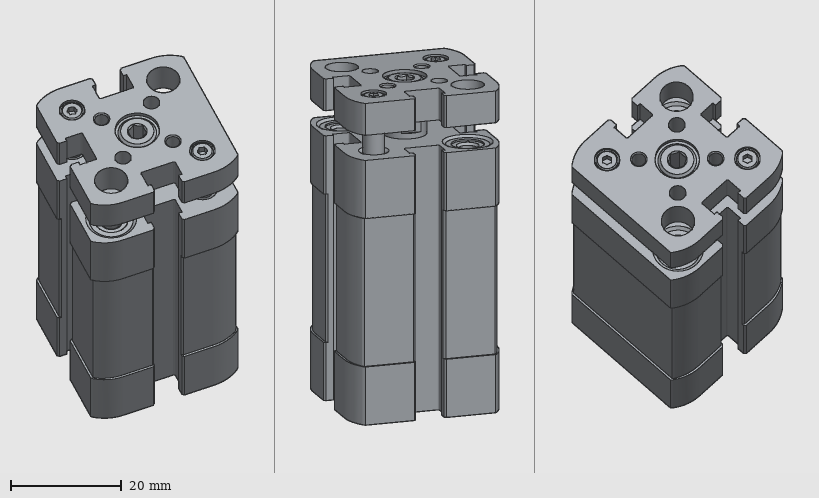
import cadquery as cq
import math

TOTAL_HEIGHT = 60.7
PLATE_THICKNESS = 6.0
HOUSING_HEIGHT = 49.95
CAP_HEIGHT = 11.0
PLATE_BOTTOM = TOTAL_HEIGHT - PLATE_THICKNESS
UPPER_CAP_BOTTOM = HOUSING_HEIGHT - CAP_HEIGHT
ROD_BOTTOM = UPPER_CAP_BOTTOM

WIDTH = 29.0
BARREL_INSET = 0.4
SIDE_FLAT_END = 9.0
CORNER_X = 12.8
CORNER_CHAMFER = 0.35

SLOT_MOUTH = 5.4
SLOT_INNER = 6.75
SLOT_FLOOR = 9.4
SLOT_LIP = 12.7
MOUTH_CHAMFER = 0.35
SLOT_FLOOR_RADIUS = 0.3
SLOT_DIRECTIONS = (0, 180, 270)

CORNER_OFFSET = 9.0
PIN_OFFSET = 4.9

ACCESS_DIAMETER = 6.0
DOWEL_DIAMETER = 3.0
TAPPED_DIAMETER = 2.5

PISTON_DIAMETER = 8.0
PISTON_NECK_DIAMETER = 7.0
PISTON_END_DROP = 0.3
PISTON_END_CHAMFER = 0.5
PISTON_SEAT_DEPTH = 0.7
PISTON_HEX = 3.0
PISTON_HEX_DEPTH = 8.0
PISTON_HEX_CHAMFER = 0.3
DRILL_TIP_ANGLE = 118.0
FLAT_DISTANCE = 7.1
FLAT_HEIGHT = 3.7

GUIDE_DIAMETER = 4.0
GUIDE_SEAT = 4.6
GUIDE_END_DROP = 0.2
GUIDE_SEAT_DEPTH = 0.5
GUIDE_END_CHAMFER = 0.25
GUIDE_HEX_CORNERS = 1.9
GUIDE_HEX_ANGLE = 15
GUIDE_HEX_DEPTH = 1.2
GUIDE_SINK_DIAMETER = 5.5
GUIDE_SINK_DEPTH = 0.5

SCREW_HOLE = 3.2
SCREW_HOLE_MOUTH = 4.1
SCREW_RECESS_MOUTH = 9.2
SCREW_RECESS_FLOOR = 8.0
SCREW_RECESS_DEPTH = 0.4
SCREW_STEP_DEPTH = 0.3

RISING_DIAGONAL = [(-1, -1), (1, 1)]
FALLING_DIAGONAL = [(-1, 1), (1, -1)]


def at_offset(signs, offset):
    return [(sx * offset, sy * offset) for sx, sy in signs]


def cylinders(points, diameter, bottom, top):
    return (cq.Workplane("XY", origin=(0, 0, bottom)).pushPoints(points)
            .circle(diameter / 2).extrude(top - bottom))


def cones(points, bottom_diameter, top_diameter, bottom, top):
    cone = cq.Solid.makeCone(bottom_diameter / 2, top_diameter / 2, top - bottom)
    return cq.Workplane("XY", origin=(0, 0, bottom)).pushPoints(points).eachpoint(
        lambda place: cone.moved(place), combine=True)


def across_corners(across_flats):
    return across_flats * 2 / math.sqrt(3)


def hexagons(points, corner_diameter, bottom, top, angle=0):
    """Hexagonal prisms with a corner toward +X, each turned by `angle` about its own axis."""
    prism = (cq.Workplane("XY", origin=(0, 0, bottom)).polygon(6, corner_diameter).extrude(top - bottom)
             .rotate((0, 0, 0), (0, 0, 1), angle).val())
    return cq.Workplane("XY").pushPoints(points).eachpoint(lambda place: prism.moved(place), combine=True)


def slotted_block(inset, bottom, top):
    half = WIDTH / 2 - inset
    end_y = half - CORNER_CHAMFER
    flat_x = CORNER_X - CORNER_CHAMFER
    rise = end_y - SIDE_FLAT_END
    sideways = half - CORNER_X
    radius = (sideways**2 + rise**2) / (2 * sideways)
    mid_angle = math.asin(rise / radius) / 2
    mid_x = half - radius * (1 - math.cos(mid_angle))
    mid_y = SIDE_FLAT_END + radius * math.sin(mid_angle)
    block = (
        cq.Workplane("XY", origin=(0, 0, bottom))
        .moveTo(flat_x, -half)
        .lineTo(CORNER_X, -end_y)
        .threePointArc((mid_x, -mid_y), (half, -SIDE_FLAT_END))
        .lineTo(half, SIDE_FLAT_END)
        .threePointArc((mid_x, mid_y), (CORNER_X, end_y))
        .lineTo(flat_x, half)
        .lineTo(-flat_x, half)
        .lineTo(-CORNER_X, end_y)
        .threePointArc((-mid_x, mid_y), (-half, SIDE_FLAT_END))
        .lineTo(-half, -SIDE_FLAT_END)
        .threePointArc((-mid_x, -mid_y), (-CORNER_X, -end_y))
        .lineTo(-flat_x, -half)
        .close()
        .extrude(top - bottom)
    )
    slot = t_slot(half, bottom, top)
    for direction in SLOT_DIRECTIONS:
        block = block.cut(slot.rotate((0, 0, 0), (0, 0, 1), direction))
    return block


def t_slot(half, bottom, top):
    """Slot opening toward +X, with a chamfered mouth at the distance `half` from the axis."""
    chamber = (
        cq.Workplane("XY", origin=(0, 0, bottom))
        .center((SLOT_FLOOR + SLOT_LIP) / 2, 0)
        .rect(SLOT_LIP - SLOT_FLOOR, SLOT_INNER)
        .extrude(top - bottom)
        .edges("|Z and <X").fillet(SLOT_FLOOR_RADIUS)
    )
    mouth = (
        cq.Workplane("XY", origin=(0, 0, bottom))
        .moveTo(SLOT_LIP, -SLOT_MOUTH / 2)
        .lineTo(half - MOUTH_CHAMFER, -SLOT_MOUTH / 2)
        .lineTo(half, -SLOT_MOUTH / 2 - MOUTH_CHAMFER)
        .lineTo(half, SLOT_MOUTH / 2 + MOUTH_CHAMFER)
        .lineTo(half - MOUTH_CHAMFER, SLOT_MOUTH / 2)
        .lineTo(SLOT_LIP, SLOT_MOUTH / 2)
        .close()
        .extrude(top - bottom)
    )
    return chamber.union(mouth)


def make_plate():
    plate = slotted_block(0, PLATE_BOTTOM, TOTAL_HEIGHT)
    plate = plate.cut(cylinders(at_offset(FALLING_DIAGONAL, CORNER_OFFSET), ACCESS_DIAMETER,
                                PLATE_BOTTOM, TOTAL_HEIGHT))
    plate = plate.cut(cylinders(at_offset(FALLING_DIAGONAL, PIN_OFFSET), DOWEL_DIAMETER,
                                PLATE_BOTTOM, TOTAL_HEIGHT))

    tapped = at_offset(RISING_DIAGONAL, PIN_OFFSET)
    plate = plate.cut(cylinders(tapped, TAPPED_DIAMETER, PLATE_BOTTOM, TOTAL_HEIGHT))
    chamfer = (DOWEL_DIAMETER - TAPPED_DIAMETER) / 2
    plate = plate.cut(cones(tapped, TAPPED_DIAMETER, DOWEL_DIAMETER, TOTAL_HEIGHT - chamfer, TOTAL_HEIGHT))

    guides = at_offset(RISING_DIAGONAL, CORNER_OFFSET)
    for points, hole, seat, depth in (
        ([(0, 0)], PISTON_NECK_DIAMETER, PISTON_DIAMETER, PISTON_SEAT_DEPTH),
        (guides, GUIDE_DIAMETER, GUIDE_SEAT, GUIDE_SEAT_DEPTH),
    ):
        plate = plate.cut(cylinders(points, hole, PLATE_BOTTOM, TOTAL_HEIGHT))
        plate = plate.cut(cylinders(points, seat, TOTAL_HEIGHT - depth, TOTAL_HEIGHT))
    return plate


def make_piston_rod():
    end = TOTAL_HEIGHT - PISTON_END_DROP
    rod = cylinders([(0, 0)], PISTON_DIAMETER, ROD_BOTTOM, PLATE_BOTTOM)

    flats = (cq.Workplane("XY", origin=(0, 0, PLATE_BOTTOM - FLAT_HEIGHT))
             .rect(PISTON_DIAMETER, PISTON_DIAMETER).rect(PISTON_DIAMETER, FLAT_DISTANCE)
             .extrude(FLAT_HEIGHT))
    rod = rod.cut(flats)

    neck = cylinders([(0, 0)], PISTON_NECK_DIAMETER, PLATE_BOTTOM, end)
    rod = rod.union(neck.faces(">Z").chamfer(PISTON_END_CHAMFER))

    socket_bottom = end - PISTON_HEX_DEPTH
    tip_height = PISTON_HEX / 2 / math.tan(math.radians(DRILL_TIP_ANGLE / 2))
    rod = rod.cut(hexagons([(0, 0)], across_corners(PISTON_HEX), socket_bottom, end))
    rod = rod.cut(cones([(0, 0)], PISTON_HEX, PISTON_HEX + 2 * PISTON_HEX_CHAMFER,
                        end - PISTON_HEX_CHAMFER, end))
    return rod.cut(cones([(0, 0)], 0, PISTON_HEX, socket_bottom - tip_height, socket_bottom))


def make_guide_rods():
    points = at_offset(RISING_DIAGONAL, CORNER_OFFSET)
    end = TOTAL_HEIGHT - GUIDE_END_DROP
    rods = cylinders(points, GUIDE_DIAMETER, ROD_BOTTOM, end).faces(">Z").chamfer(GUIDE_END_CHAMFER)
    return rods.cut(hexagons(points, GUIDE_HEX_CORNERS, end - GUIDE_HEX_DEPTH, end, GUIDE_HEX_ANGLE))


def make_moving_unit():
    """Plate with its piston rod and guide rods, moving as one body."""
    return make_plate().union(make_piston_rod()).union(make_guide_rods())


def make_housing():
    housing = slotted_block(0, 0, CAP_HEIGHT)
    housing = housing.union(slotted_block(BARREL_INSET, CAP_HEIGHT, UPPER_CAP_BOTTOM))
    housing = housing.union(slotted_block(0, UPPER_CAP_BOTTOM, HOUSING_HEIGHT))

    guides = at_offset(RISING_DIAGONAL, CORNER_OFFSET)
    housing = housing.cut(cylinders([(0, 0)], PISTON_DIAMETER, ROD_BOTTOM, HOUSING_HEIGHT))
    housing = housing.cut(cylinders(guides, GUIDE_DIAMETER, ROD_BOTTOM, HOUSING_HEIGHT))
    housing = housing.cut(cones(guides, GUIDE_DIAMETER, GUIDE_SINK_DIAMETER,
                                HOUSING_HEIGHT - GUIDE_SINK_DEPTH, HOUSING_HEIGHT))

    screws = at_offset(FALLING_DIAGONAL, CORNER_OFFSET)
    recess_floor = HOUSING_HEIGHT - SCREW_RECESS_DEPTH
    step_floor = recess_floor - SCREW_STEP_DEPTH
    hole_chamfer = (SCREW_HOLE_MOUTH - SCREW_HOLE) / 2
    housing = housing.cut(cylinders(screws, SCREW_HOLE, 0, HOUSING_HEIGHT))
    housing = housing.cut(cones(screws, SCREW_HOLE, SCREW_HOLE_MOUTH, step_floor - hole_chamfer, step_floor))
    housing = housing.cut(cylinders(screws, ACCESS_DIAMETER, step_floor, recess_floor))
    housing = housing.cut(cones(screws, SCREW_RECESS_FLOOR, SCREW_RECESS_MOUTH, recess_floor, HOUSING_HEIGHT))
    return housing


housing = make_housing()
moving_unit = make_moving_unit()
result = cq.Compound.makeCompound([housing.val(), moving_unit.val()])